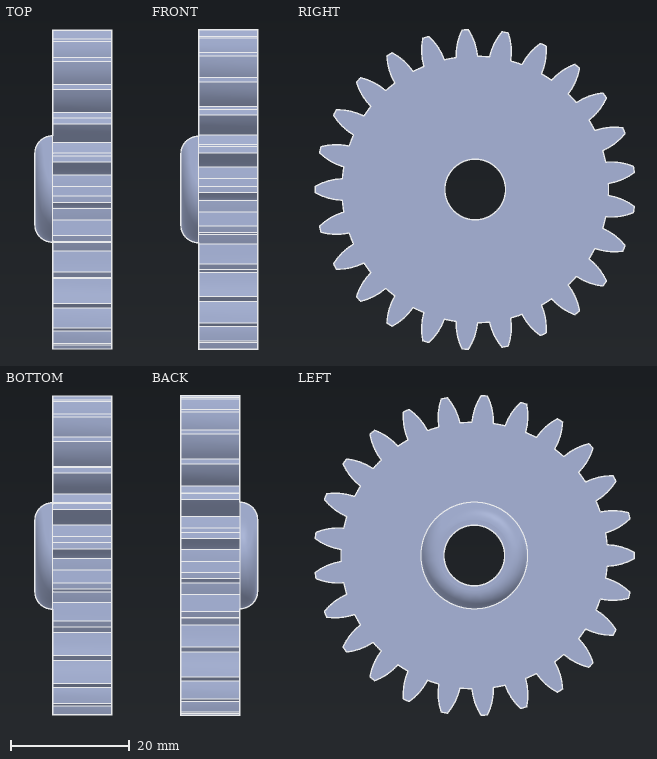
import cadquery as cq
import math

overall_height = 53.95
tooth_count = 25
first_tooth_angle = math.pi
face_width = 10.0
root_radius = 22.5

root_half_width = 1.85
middle_half_width = 1.45
tip_half_width = 0.55
middle_radius = 24.8

hub_diameter = 18.0
hub_height = 3.0
bore_diameter = 10.2

tooth_pitch = 2 * math.pi / tooth_count
tip_distance = (overall_height / 2 - tip_half_width * math.sin(tooth_pitch / 4)) / math.cos(tooth_pitch / 4)
outer_radius = math.hypot(tip_distance, tip_half_width)
root_distance = math.sqrt(root_radius**2 - root_half_width**2)


def turned(point, angle):
    """Turn a (Y, Z) point about the gear axis."""
    y, z = point
    return (
        y * math.cos(angle) - z * math.sin(angle),
        y * math.sin(angle) + z * math.cos(angle),
    )


def gear_blank():
    """Extruded outline of convex-flanked teeth joined by root arcs."""
    start = turned((root_distance, -root_half_width), first_tooth_angle)
    outline = cq.Workplane("YZ").moveTo(*start)
    for index in range(tooth_count):
        angle = first_tooth_angle + index * tooth_pitch
        outline = (
            outline
            .threePointArc(
                turned((middle_radius, -middle_half_width), angle),
                turned((tip_distance, -tip_half_width), angle),
            )
            .threePointArc(
                turned((outer_radius, 0), angle),
                turned((tip_distance, tip_half_width), angle),
            )
            .threePointArc(
                turned((middle_radius, middle_half_width), angle),
                turned((root_distance, root_half_width), angle),
            )
            .threePointArc(
                turned((root_radius, 0), angle + tooth_pitch / 2),
                turned((root_distance, -root_half_width), angle + tooth_pitch),
            )
        )
    return outline.close().extrude(face_width)


def hub():
    """Half-section of the hub, with a full quarter-round edge, turned about the X axis."""
    hub_radius = hub_diameter / 2
    flat_radius = hub_radius - hub_height
    round_offset = hub_height * math.sqrt(0.5)
    return (
        cq.Workplane("XY")
        .lineTo(-hub_height, 0)
        .lineTo(-hub_height, flat_radius)
        .threePointArc((-round_offset, flat_radius + round_offset), (0, hub_radius))
        .close()
        .revolve(360, (0, 0, 0), (1, 0, 0))
    )


def bore():
    """Cylinder through the hub and the gear."""
    return (
        cq.Workplane("YZ", origin=(-hub_height, 0, 0))
        .circle(bore_diameter / 2)
        .extrude(hub_height + face_width)
    )


result = gear_blank().union(hub()).cut(bore())